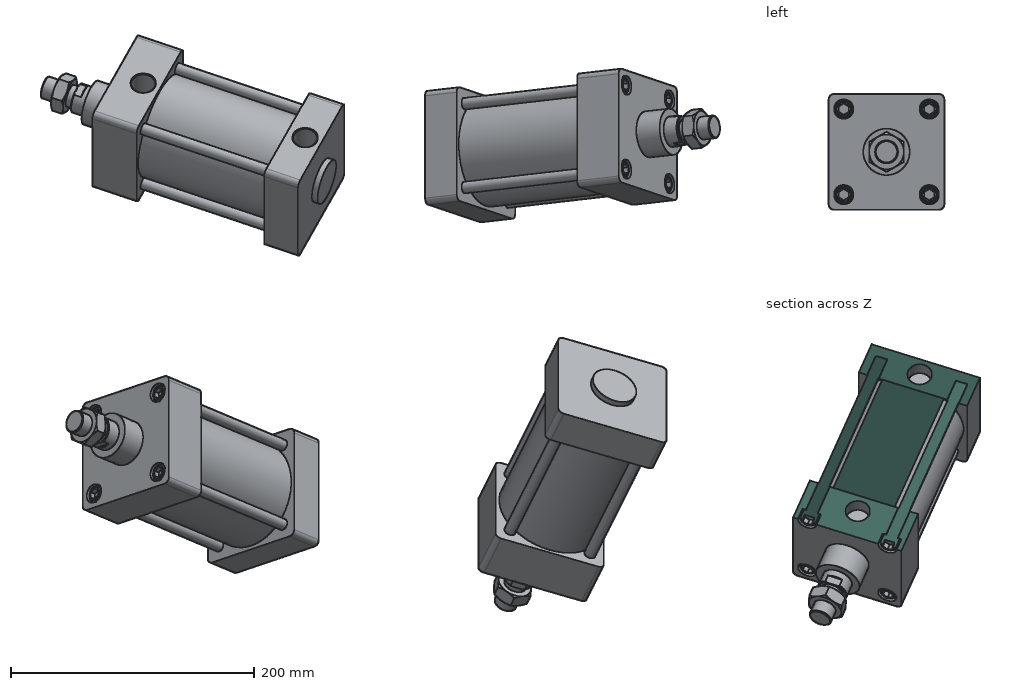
import cadquery as cq
import math


hexagon_corner_ratio = 1 / math.cos(math.radians(30))

nut_start = 11.6
nut_end = 22.8
shoulder_x = 28.3
flats_end = 35.1
boss_front = 41.2
head_front = 63.5
head_back = 103.1
cap_front = 217.5
cap_back = 247.8
overall_length = 252.8

block_side = 95.3
block_corner_radius = 4.8
boss_diameter = 38.2

head_port_x = 88.2
cap_port_x = 233.3
port_mouth_diameter = 21.0
port_diameter = 19.7
port_depth = 25.3
port_chamfer = (port_mouth_diameter - port_diameter) / 2

barrel_diameter = 89.0

rod_diameter = 25.3
rod_flat_width = 22.0
rod_shoulder_chamfer = 0.8
thread_diameter = 19.0
thread_tip_diameter = 17.5
thread_tip_chamfer = (thread_diameter - thread_tip_diameter) / 2

nut_across_flats = 28.5
nut_across_corners = nut_across_flats * hexagon_corner_ratio
nut_chamfer_radial = (nut_across_corners - nut_across_flats) / 2
nut_chamfer_angle = 30
nut_chamfer_axial = nut_chamfer_radial * math.tan(math.radians(nut_chamfer_angle))

tie_offset = 35.1
tie_diameter = 9.5
tie_end = 237.6
screw_head_diameter = 14.2
screw_face_diameter = 11.5
screw_head_length = 10.0
screw_head_recess = 0.8
screw_head_start = head_front + screw_head_recess
counterbore_floor = screw_head_start + screw_head_length
screw_head_chamfer = (screw_head_diameter - screw_face_diameter) / 2
socket_across_flats = 8.0
socket_depth = 5.0
counterbore_diameter = 16.0

tie_positions = [(y, z) for y in (-tie_offset, tie_offset) for z in (-tie_offset, tie_offset)]


def cylinder(diameter, start, end, y=0.0, z=0.0):
    """Cylinder along X between two stations."""
    return cq.Workplane("YZ", origin=(start, y, z)).circle(diameter / 2).extrude(end - start)


def hexagon(across_flats, start, end, y=0.0, z=0.0):
    """Hexagonal prism along X between two stations, with corners at its top and bottom."""
    across_corners = across_flats * hexagon_corner_ratio
    prism = cq.Workplane("YZ", origin=(start, y, z)).polygon(6, across_corners).extrude(end - start)
    return prism.rotate((start, y, z), (end, y, z), 90)


def block(start, end):
    """Square block with rounded edges along X."""
    square = cq.Workplane("YZ", origin=(start, 0, 0)).rect(block_side, block_side).extrude(end - start)
    return square.edges("|X").fillet(block_corner_radius)


def port(x):
    """Cutter for a blind air port with a chamfered mouth, going down from the top face."""
    top = cq.Workplane("XY", origin=(x, 0, block_side / 2))
    hole = top.circle(port_diameter / 2).extrude(-port_depth)
    mouth = top.circle(port_mouth_diameter / 2).extrude(-port_chamfer, taper=45)
    return hole.union(mouth)


def make_head():
    head = block(head_front, head_back).union(cylinder(boss_diameter, boss_front, head_front))
    head = head.cut(cylinder(rod_diameter, boss_front, head_back))
    head = head.cut(port(head_port_x))
    for y, z in tie_positions:
        head = head.cut(cylinder(tie_diameter, head_front, head_back, y, z))
        head = head.cut(cylinder(counterbore_diameter, head_front, counterbore_floor, y, z))
    return head


def make_cap():
    cap = block(cap_front, cap_back).union(cylinder(boss_diameter, cap_back, overall_length))
    cap = cap.cut(port(cap_port_x))
    for y, z in tie_positions:
        cap = cap.cut(cylinder(tie_diameter, cap_front, tie_end, y, z))
    return cap


def make_barrel():
    return cylinder(barrel_diameter, head_back, cap_front)


def make_rod():
    shaft = cylinder(rod_diameter, shoulder_x, head_back).faces("<X").chamfer(rod_shoulder_chamfer)
    flats_length = flats_end - shoulder_x
    flats_center = (shoulder_x + flats_end) / 2
    ring = cylinder(rod_diameter, shoulder_x, flats_end)
    between_flats = cq.Workplane("XY").box(flats_length, rod_diameter, rod_flat_width)
    shaft = shaft.cut(ring.cut(between_flats.translate((flats_center, 0, 0))))
    thread = cylinder(thread_diameter, 0, shoulder_x).faces("<X").chamfer(thread_tip_chamfer)
    return shaft.union(thread)


def make_nut():
    nut = hexagon(nut_across_flats, nut_start, nut_end)
    envelope = cylinder(nut_across_corners, nut_start, nut_end)
    envelope = envelope.faces("<X").chamfer(nut_chamfer_axial, nut_chamfer_radial)
    envelope = envelope.faces(">X").chamfer(nut_chamfer_axial, nut_chamfer_radial)
    return nut.intersect(envelope).cut(cylinder(thread_diameter, nut_start, nut_end))


def make_tie_rod(y, z):
    screw_head = cylinder(screw_head_diameter, screw_head_start, counterbore_floor, y, z)
    screw_head = screw_head.faces("<X").chamfer(screw_head_chamfer)
    tie_rod = screw_head.union(cylinder(tie_diameter, counterbore_floor, tie_end, y, z))
    socket_floor = screw_head_start + socket_depth
    return tie_rod.cut(hexagon(socket_across_flats, screw_head_start, socket_floor, y, z))


head = make_head()
cap = make_cap()
barrel = make_barrel()
rod = make_rod()
nut = make_nut()
tie_rods = [make_tie_rod(y, z) for y, z in tie_positions]

result = cq.Compound.makeCompound(
    [
        head.val(),
        cap.val(),
        barrel.val(),
        rod.val(),
        nut.val(),
        *[tie_rod.val() for tie_rod in tie_rods],
    ]
)